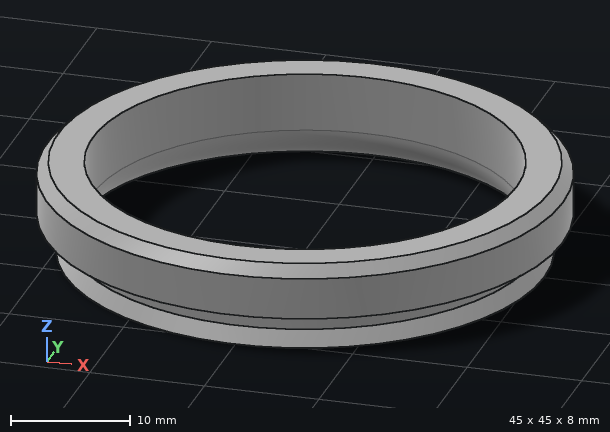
import cadquery as cq
import math

outer_radius = 45 / 2
bore_radius = 37.0 / 2
neck_radius = 40.0 / 2
lip_radius = 20.9

height = 8.0
flare_height = 1.35
neck_height = 2.02
top_chamfer = 1.0
bore_flare_height = 2.92

neck_top = flare_height + neck_height

bore_flare_width = lip_radius - bore_radius
arc_radius = (bore_flare_width**2 + bore_flare_height**2) / (2 * bore_flare_width)
half_sweep = math.asin(bore_flare_height / arc_radius) / 2
arc_middle = (
    bore_radius + arc_radius * (1 - math.cos(half_sweep)),
    bore_flare_height - arc_radius * math.sin(half_sweep),
)

profile = (
    cq.Workplane("XZ")
    .moveTo(lip_radius, 0)
    .lineTo(neck_radius, flare_height)
    .lineTo(neck_radius, neck_top)
    .lineTo(outer_radius, neck_top)
    .lineTo(outer_radius, height - top_chamfer)
    .lineTo(outer_radius - top_chamfer, height)
    .lineTo(bore_radius, height)
    .lineTo(bore_radius, bore_flare_height)
    .threePointArc(arc_middle, (lip_radius, 0))
    .close()
)

result = profile.revolve(360, (0, 0, 0), (0, 1, 0))